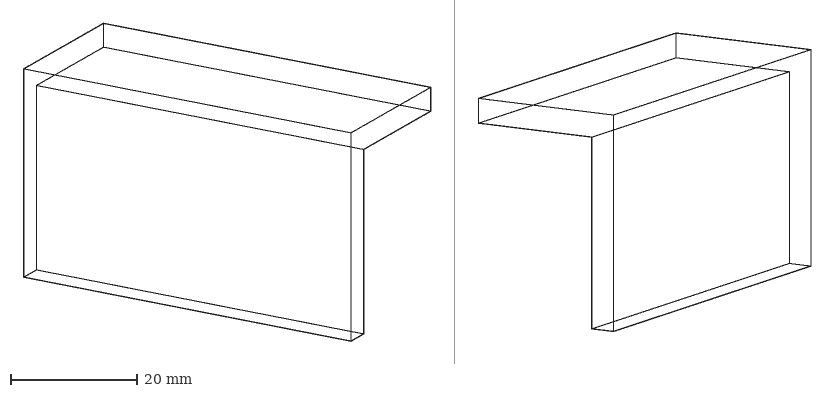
import cadquery as cq

length = 60.0
depth = 25.0
height = 35.0
wall = 4.0

section = [
    (0, 0),
    (wall, 0),
    (wall, height - wall),
    (depth, height - wall),
    (depth, height),
    (0, height),
]

result = cq.Workplane("YZ").polyline(section).close().extrude(length)